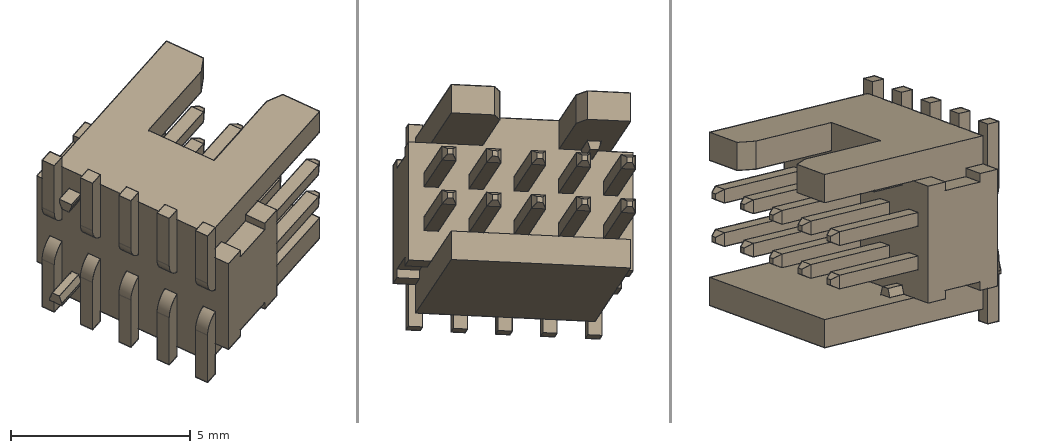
import cadquery as cq
import math


columns = 5
contact_span = 5.08
pitch = contact_span / (columns - 1)

block_width = 6.35
block_depth = 2.5
block_height = 3.42

plate_width = contact_span
plate_length = 5.7
plate_thickness = 0.825

wing_width = (block_width - plate_width) / 2
notch_length = block_depth / 2
notch_depth = 0.25

slot_width = 2.165
slot_mouth_width = 2.63
slot_chamfer_length = 0.475

contact_size = 0.4
contact_reach = 5.555
tip_size = 0.16
tip_length = 0.23
lead_end = 2.92
bend_radius = 0.64
bend_end = 1.03

key_length = 4.0
key_wide = 0.4
key_narrow = 0.235
key_height = 0.34
key_x = -1.5 * pitch
upper_key_protrusion = 0.5
lower_key_protrusion = 1.0

plate_inner = block_height / 2
key_inner = plate_inner - notch_depth
key_outer = key_inner + key_height
column_xs = [(i - (columns - 1) / 2) * pitch for i in range(columns)]
mid_plane = "XY"


def box(width, depth, height, x, y, z):
    """Box centred on x and z, starting at y and running toward +Y."""
    return cq.Workplane("XY").box(width, depth, height, centered=(True, False, True)).translate((x, y, z))


def side_notch(side, level):
    """Step-down in the middle of one wing's top (level 1) or bottom (level -1) face."""
    x = side * (plate_width + wing_width) / 2
    z = level * (plate_inner - notch_depth / 2)
    return box(wing_width, notch_length, notch_depth, x, (block_depth - notch_length) / 2, z)


def slot_cutter():
    """Slot in the top plate, open at the rear and flared at its mouth."""
    half_width = slot_width / 2
    half_mouth = slot_mouth_width / 2
    flare_start = plate_length - slot_chamfer_length
    return (
        cq.Workplane("XY", origin=(0, 0, plate_inner))
        .moveTo(-half_width, block_depth)
        .lineTo(half_width, block_depth)
        .lineTo(half_width, flare_start)
        .lineTo(half_mouth, plate_length)
        .lineTo(-half_mouth, plate_length)
        .lineTo(-half_width, flare_start)
        .close()
        .extrude(plate_thickness)
    )


def contact_pin(x):
    """Upper-row mating pin with a pyramid tip, rooted in the rear of the block."""
    z = pitch / 2
    shaft_end = contact_reach - tip_length
    shaft = box(contact_size, shaft_end - block_depth, contact_size, x, block_depth, z)
    tip = (
        cq.Workplane("XZ", origin=(x, shaft_end, z))
        .rect(contact_size, contact_size)
        .workplane(offset=-tip_length)
        .rect(tip_size, tip_size)
        .loft()
    )
    return shaft.union(tip)


def contact_lead(x):
    """Upper-row lead rising along the front wall, with a rounded bend at its foot."""
    bend_y = bend_radius - contact_size
    sweep_angle = math.acos(bend_y / bend_radius)

    def bend_point(angle):
        return (bend_y - bend_radius * math.cos(angle), bend_end - bend_radius * math.sin(angle))

    return (
        cq.Workplane("YZ", origin=(x - contact_size / 2, 0, 0))
        .moveTo(0, lead_end)
        .lineTo(-contact_size, lead_end)
        .lineTo(-contact_size, bend_end)
        .threePointArc(bend_point(sweep_angle / 2), bend_point(sweep_angle))
        .close()
        .extrude(contact_size)
    )


def upper_key(protrusion):
    """Coding key: a straight foot set into the plate, tapering toward the mid plane."""
    return (
        cq.Workplane("XZ", origin=(key_x, -protrusion, 0))
        .moveTo(-key_narrow / 2, key_inner)
        .lineTo(key_narrow / 2, key_inner)
        .lineTo(key_wide / 2, plate_inner)
        .lineTo(key_wide / 2, key_outer)
        .lineTo(-key_wide / 2, key_outer)
        .lineTo(-key_wide / 2, plate_inner)
        .close()
        .extrude(-key_length)
    )


def make_housing(keys):
    """Block, plates and contacts as one solid, with a matching channel for each key."""
    body = box(block_width, block_depth, block_height, 0, 0, 0)
    for level in (1, -1):
        plate_z = level * (plate_inner + plate_thickness / 2)
        body = body.union(box(plate_width, plate_length, plate_thickness, 0, 0, plate_z))
        for side in (1, -1):
            body = body.cut(side_notch(side, level))
    body = body.cut(slot_cutter())
    for x in column_xs:
        for contact in (contact_pin(x), contact_lead(x)):
            body = body.union(contact).union(contact.mirror(mid_plane))
    for key in keys:
        body = body.cut(key)
    return body


coding_keys = [
    upper_key(upper_key_protrusion),
    upper_key(lower_key_protrusion).mirror(mid_plane),
]
housing = make_housing(coding_keys)

result = cq.Compound.makeCompound([housing.solids().val(), *[key.val() for key in coding_keys]])